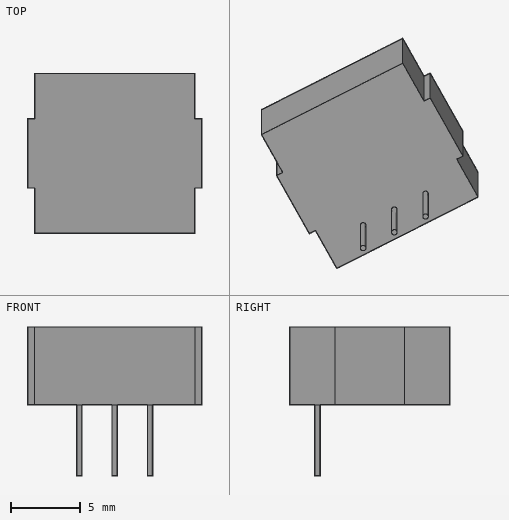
import cadquery as cq

block_size = 11.5
housing_height = 5.6
rib_width = 5.0
rib_projection = 0.5

pin_count = 3
pin_diameter = 0.4
pin_pitch = 2.54
pin_row_y = -3.75
overall_height = 10.7
pin_length = overall_height - housing_height


def make_housing():
    """Block standing on Z = 0, with its two side ribs."""
    bottom_centered = (True, True, False)
    block = cq.Workplane("XY").box(block_size, block_size, housing_height, centered=bottom_centered)
    ribs_span = block_size + 2 * rib_projection
    ribs = cq.Workplane("XY").box(ribs_span, rib_width, housing_height, centered=bottom_centered)
    return block.union(ribs)


def make_pin(x):
    """Round pin hanging from the underside of the housing."""
    return cq.Workplane("XY").center(x, pin_row_y).circle(pin_diameter / 2).extrude(-pin_length)


housing = make_housing()

pins = []
for index in range(pin_count):
    pin_x = (index - (pin_count - 1) / 2) * pin_pitch
    pins.append(make_pin(pin_x).val())

result = cq.Compound.makeCompound([housing.val(), *pins])